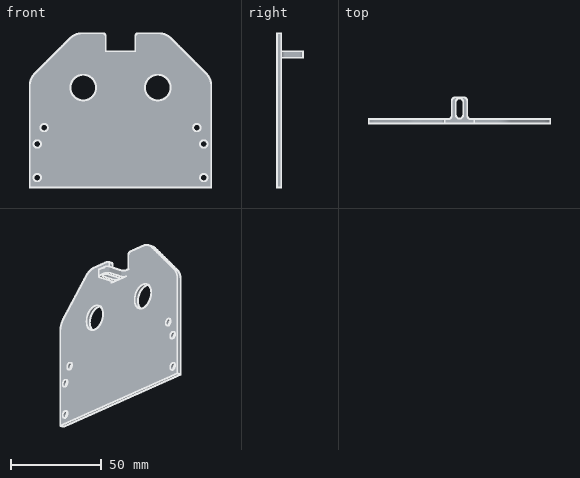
import cadquery as cq

plate_width = 100.0
plate_height = 85.0
plate_thickness = 2.5
corner_cut = 25.0
corner_radius = 10.0

notch_width = 16.0
notch_depth = 10.0
notch_radius = 2.0

large_hole_diameter = 14.0
large_hole_place = (20.5, 55.0)
small_hole_diameter = 4.0
small_hole_places = [(42.0, 33.0), (45.8, 24.0), (45.8, 5.5)]

tab_width = 8.6
tab_reach = 14.5
tab_thickness = 3.7
tab_tip_radius = 2.0
tab_root_radius = 2.0
slot_width = 4.0
slot_length = 11.0
slot_tip_wall = 0.7

half_width = plate_width / 2
notch_floor = plate_height - notch_depth


def make_plate():
    """Plate with rounded cut corners and a notch with rounded mouth."""
    plate = (
        cq.Workplane("XZ")
        .moveTo(-half_width, 0)
        .lineTo(half_width, 0)
        .lineTo(half_width, plate_height - corner_cut)
        .lineTo(half_width - corner_cut, plate_height)
        .lineTo(corner_cut - half_width, plate_height)
        .lineTo(-half_width, plate_height - corner_cut)
        .close()
        .extrude(-plate_thickness)
    )
    plate = plate.edges("|Y").edges(cq.selectors.BoxSelector(
        (-plate_width, -plate_width, plate_height / 2),
        (plate_width, plate_width, plate_height * 2),
    )).fillet(corner_radius)
    notch = cq.Workplane("XY").box(
        notch_width, plate_thickness, notch_depth, centered=(True, False, False)
    ).translate((0, 0, notch_floor))
    plate = plate.cut(notch)
    mouth_edges = cq.selectors.BoxSelector(
        (-notch_width, -plate_thickness, plate_height - notch_radius),
        (notch_width, 2 * plate_thickness, plate_height + notch_radius),
    )
    return plate.edges("|Y").edges(mouth_edges).fillet(notch_radius)


def make_holes(diameter, places):
    """Cutters through the plate at each place and its mirror image."""
    points = [(side * x, z) for x, z in places for side in (-1, 1)]
    return cq.Workplane("XZ").pushPoints(points).circle(diameter / 2).extrude(-plate_thickness)


def make_tab():
    """Flat tab with rounded tip corners, flared root and a long slot."""
    half_tab = tab_width / 2
    flare = half_tab + tab_root_radius
    flare_end = plate_thickness + tab_root_radius
    tip_start = tab_reach - tab_tip_radius
    tab = (
        cq.Workplane("XY")
        .moveTo(-flare, 0)
        .lineTo(flare, 0)
        .lineTo(flare, plate_thickness)
        .radiusArc((half_tab, flare_end), tab_root_radius)
        .lineTo(half_tab, tip_start)
        .radiusArc((half_tab - tab_tip_radius, tab_reach), -tab_tip_radius)
        .lineTo(tab_tip_radius - half_tab, tab_reach)
        .radiusArc((-half_tab, tip_start), -tab_tip_radius)
        .lineTo(-half_tab, flare_end)
        .radiusArc((-flare, plate_thickness), tab_root_radius)
        .close()
        .extrude(-tab_thickness)
    )
    slot = (
        cq.Workplane("XY")
        .center(0, tab_reach - slot_tip_wall - slot_length / 2)
        .slot2D(slot_length, slot_width, 90)
        .extrude(-tab_thickness)
    )
    return tab.cut(slot).translate((0, 0, notch_floor))


result = (
    make_plate()
    .cut(make_holes(large_hole_diameter, [large_hole_place]))
    .cut(make_holes(small_hole_diameter, small_hole_places))
    .union(make_tab())
)